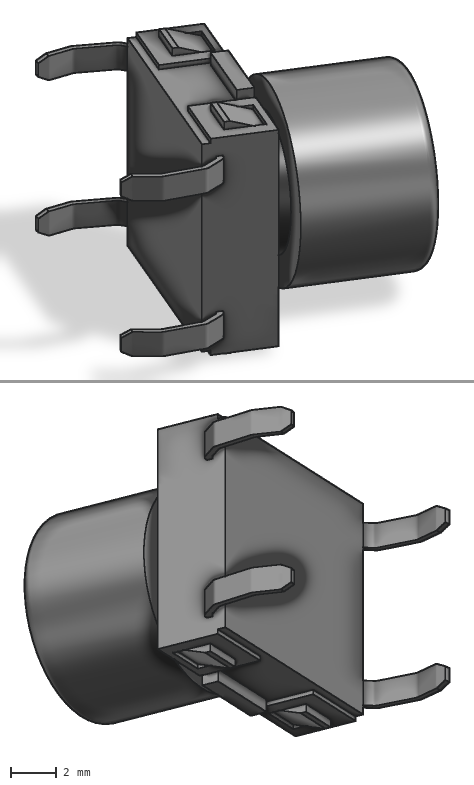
import cadquery as cq
import math


body_width = 11.4
core_height = 10.2
body_depth = 3.55

neck_diameter = 6.6
neck_length = 1.3
cap_diameter = 9.6
cap_length = 6.5
cap_edge_radius = 0.5

plate_width = 3.5
plate_length = 3.15
plate_thickness = 0.22

side_height = 5.7
latch_width = 2.05
window_front_margin = 0.34
window_length = 1.97
ramp_length = 1.69

tab_width = 4.0
tab_length = 0.82

lead_thickness = 0.3
lead_width = 1.2
lead_spacing = 7.64
lead_anchor_x = 5.0
bend_radius = 0.4
tip_width = 0.68
lead_outer_corners = [
    (lead_anchor_x, 0.96),
    (5.98, 0.96),
    (6.78, -0.07),
    (7.005, -2.22),
    (6.61, -3.5),
    (6.54, -4.0),
]

core_top = core_height / 2


def make_button():
    """Neck and rounded cap along +Y from the front face of the housing."""
    cap_start = body_depth + neck_length
    neck = cq.Workplane("XZ", origin=(0, body_depth, 0)).circle(neck_diameter / 2).extrude(-neck_length)
    cap = cq.Workplane("XZ", origin=(0, cap_start, 0)).circle(cap_diameter / 2).extrude(-cap_length)
    cap = cap.faces(">Y").edges().fillet(cap_edge_radius)
    return neck.union(cap)


def box_on_top(center_x, width, y_front, length, height):
    """Block standing on the top of the core, running back from y_front."""
    center = (center_x, y_front - length / 2, core_top + height / 2)
    return cq.Workplane("XY").box(width, length, height).translate(center)


def make_latch_plate(center_x):
    """Cover plate with a window that holds a latch ramping up toward the rear."""
    window_front = body_depth - window_front_margin
    plate = box_on_top(center_x, plate_width, body_depth, plate_length, plate_thickness)
    window = box_on_top(center_x, latch_width, window_front, window_length, plate_thickness)
    latch = (
        cq.Workplane("YZ", origin=(center_x, 0, 0))
        .moveTo(window_front, core_top)
        .lineTo(window_front - ramp_length, side_height)
        .lineTo(window_front - window_length, side_height)
        .lineTo(window_front - window_length, core_top)
        .close()
        .extrude(latch_width / 2, both=True)
    )
    return plate.cut(window).union(latch)


def make_top_details():
    """Two latch plates and the centre tab on the top side."""
    plate_x = (body_width - plate_width) / 2
    tab = box_on_top(0, tab_width, body_depth, tab_length, side_height - core_top)
    return tab.union(make_latch_plate(-plate_x)).union(make_latch_plate(plate_x))


def direction(start, end):
    """Unit vector from start to end."""
    length = math.dist(start, end)
    return ((end[0] - start[0]) / length, (end[1] - start[1]) / length)


def inner_corners(outer):
    """Corners of the parallel path one lead thickness to the right of the outer path."""
    headings = [direction(a, b) for a, b in zip(outer, outer[1:])]
    before = headings[:1] + headings
    after = headings + headings[-1:]
    corners = []
    for (x, y), (ax, ay), (bx, by) in zip(outer, before, after):
        mitre = lead_thickness / (1 + ax * bx + ay * by)
        corners.append((x + (ay + by) * mitre, y - (ax + bx) * mitre))
    return corners


def round_bends(strip, corners):
    """Fillet the Z-parallel edge at each corner of a strip centred on Z = 0."""
    for x, y in corners:
        edge = cq.selectors.NearestToPointSelector((x, y, 0))
        strip = strip.edges("|Z").edges(edge).fillet(bend_radius)
    return strip


def taper_tip(strip, last_bend, tip):
    """Slope both narrow sides of the strip from its last bend to its tip."""
    half_width = lead_width / 2
    taper_length = math.dist(last_bend, tip)
    x_step, y_step = direction(last_bend, tip)
    plane = cq.Plane(origin=(*tip, 0), xDir=(x_step, y_step, 0), normal=(-y_step, x_step, 0))
    for side in (1, -1):
        wedge = (
            cq.Workplane(plane)
            .moveTo(-taper_length, side * half_width)
            .lineTo(0, side * tip_width / 2)
            .lineTo(0, side * half_width)
            .close()
            .extrude(2 * lead_thickness, both=True)
        )
        strip = strip.cut(wedge)
    return strip


def make_lead():
    """Right-hand lead, bent from flat strip and centred on Z = 0."""
    outer = lead_outer_corners
    inner = inner_corners(outer)
    strip = cq.Workplane("XY").polyline(outer + inner[::-1]).close().extrude(lead_width / 2, both=True)
    strip = round_bends(strip, outer[1:-1] + inner[1:-1])
    return taper_tip(strip, outer[-2], outer[-1])


result = cq.Workplane("XY").box(body_width, body_depth, core_height).translate((0, body_depth / 2, 0))
result = result.union(make_button())

top_details = make_top_details()
result = result.union(top_details).union(top_details.mirror("XY"))

right_lead = make_lead()
left_lead = right_lead.mirror("YZ")
for lead in (left_lead, right_lead):
    for lead_z in (-lead_spacing / 2, lead_spacing / 2):
        result = result.union(lead.translate((0, 0, lead_z)))